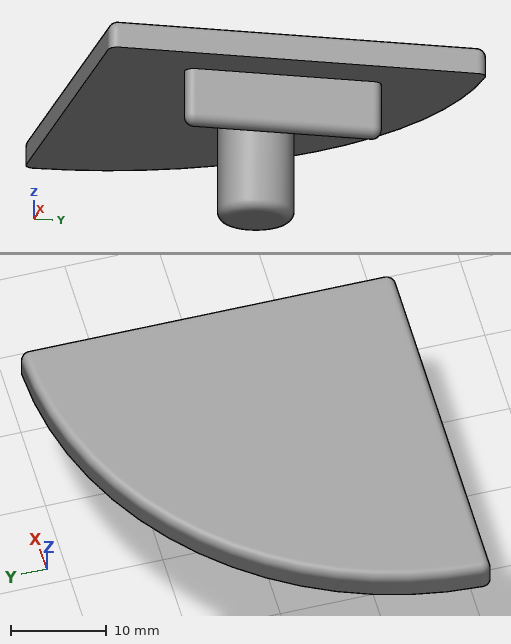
import cadquery as cq
import math

side = 40.3
total_height = 14.0
plate_thickness = 3.02
edge_radius = 1.0

peg_diameter = 8.0
peg_x = side / 2
peg_y = side / 2
peg_bottom_radius = 1.0

fin_x = 34.3
fin_y_min = 9.3
fin_length = 21.0
fin_depth = 5.95
fin_radius = 1.0

arc_radius = edge_radius + math.hypot(side - edge_radius, edge_radius)


def make_plate():
    """Quarter disc with rounded corners and a rounded top edge; underside at Z = 0."""
    diagonal = arc_radius * math.sqrt(0.5)
    return (
        cq.Workplane("XY")
        .moveTo(side, 0)
        .lineTo(side, arc_radius)
        .threePointArc((side - diagonal, diagonal), (side - arc_radius, 0))
        .close()
        .extrude(plate_thickness)
        .edges("|Z")
        .fillet(edge_radius)
        .faces(">Z")
        .edges()
        .fillet(edge_radius)
    )


def make_peg():
    """Round peg hanging below the plate, with a rounded bottom edge."""
    return (
        cq.Workplane("XY")
        .center(peg_x, peg_y)
        .circle(peg_diameter / 2)
        .extrude(plate_thickness - total_height)
        .faces("<Z")
        .edges()
        .fillet(peg_bottom_radius)
    )


def make_fin():
    """Thin fin below the plate, with fully rounded ends and bottom."""
    straight_depth = fin_depth - fin_radius
    end_spacing = fin_length - 2 * fin_radius
    first_end = fin_y_min + fin_radius
    body = (
        cq.Workplane("XY")
        .center(fin_x, fin_y_min + fin_length / 2)
        .slot2D(fin_length, 2 * fin_radius, 90)
        .extrude(-straight_depth)
    )
    bottom = (
        cq.Workplane("XZ", origin=(fin_x, first_end, -straight_depth))
        .circle(fin_radius)
        .extrude(-end_spacing)
    )
    fin = body.union(bottom)
    for end_y in (first_end, first_end + end_spacing):
        ball = cq.Workplane("XY").sphere(fin_radius)
        fin = fin.union(ball.translate((fin_x, end_y, -straight_depth)))
    return fin


result = make_plate().union(make_peg()).union(make_fin())